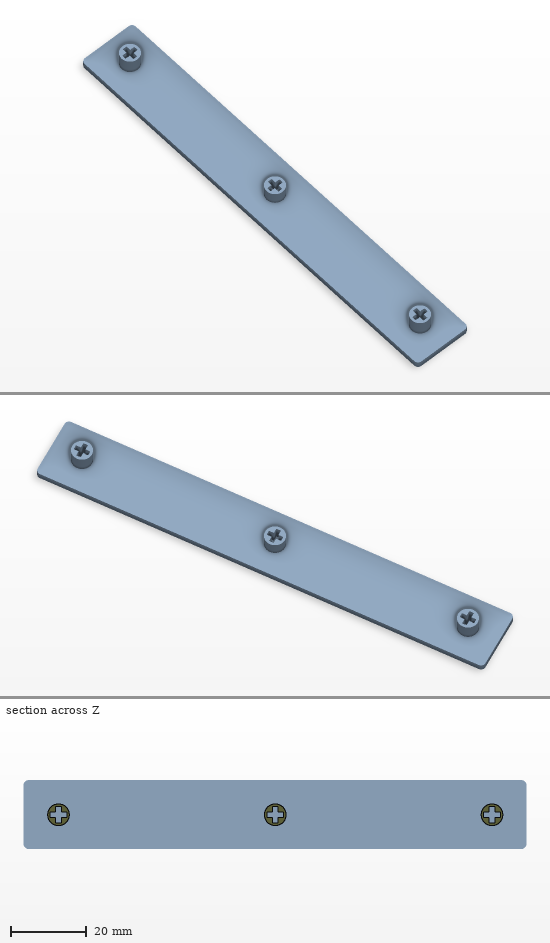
import cadquery as cq

plate_length = 132.5
plate_width = 18.2
plate_thickness = 2.0
corner_radius = 1.3

total_height = 6.6
stem_diameter = 5.8
stem_spacing = 57.1
outer_stem_height = total_height - plate_thickness
middle_stem_height = 3.8

cross_length = 4.2
cross_slot_width = 1.3


def make_plate():
    """Flat plate with rounded vertical corners, resting on Z = 0."""
    return (
        cq.Workplane("XY")
        .box(plate_length, plate_width, plate_thickness, centered=(True, True, False))
        .edges("|Z")
        .fillet(corner_radius)
    )


def make_stem(x, height):
    """Cylinder on the plate with a cross socket through its full height."""
    base = cq.Workplane("XY", origin=(x, 0, plate_thickness))
    stem = base.circle(stem_diameter / 2).extrude(height)
    slot_along_x = base.rect(cross_length, cross_slot_width).extrude(height)
    slot_along_y = base.rect(cross_slot_width, cross_length).extrude(height)
    return stem.cut(slot_along_x).cut(slot_along_y)


result = make_plate()
for stem_x, stem_height in (
    (-stem_spacing, outer_stem_height),
    (0, middle_stem_height),
    (stem_spacing, outer_stem_height),
):
    result = result.union(make_stem(stem_x, stem_height))